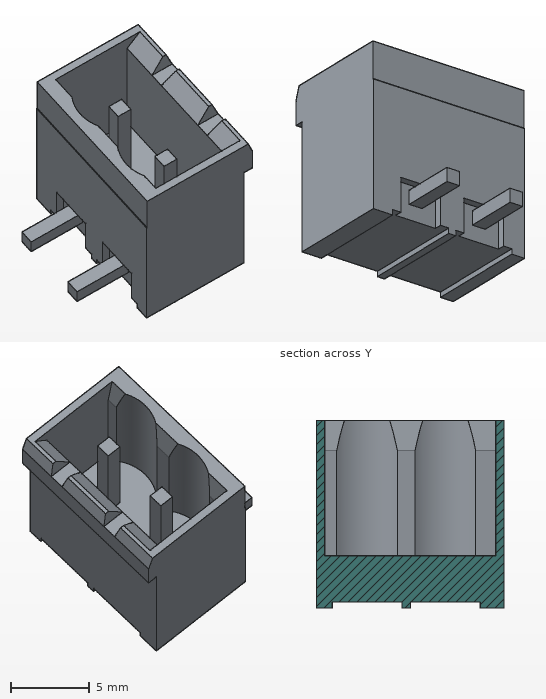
import cadquery as cq


WIDTH = 12.0
HEIGHT = 12.0
BODY_FRONT_Y = -8.35
RIM_FRONT_Y = -8.3
LIP_OVERHANG = 0.66
LIP_HEIGHT = 2.71
LIP_CHAMFER_DEPTH = 0.34
BEVEL_HEIGHT = 0.97

SIDE_WALL = 0.54
SOCKET_BACK_TOP_Y = -0.6
SOCKET_BACK_Y = -1.61
SOCKET_FRONT_Y = -6.9
SOCKET_FRONT_TOP_Y = -7.24
FRONT_BEVEL_HEIGHT = 1.92
SOCKET_FLOOR_Z = 3.36
SCALLOP_RADIUS = 3.0
SCALLOP_FRONT_Y = -7.61

POLE_PITCH = 5.0
FIRST_POLE_X = 3.75
POLE_CENTERS = [FIRST_POLE_X, FIRST_POLE_X + POLE_PITCH]
PIN_SIZE = 1.01
PIN_Y = -4.5
PIN_TOP_Z = 10.35
TAIL_Z = 1.99
TAIL_END_Y = -11.85

NOTCH_TOP_WIDTH = 1.43

RECESS_WIDTH = 3.15
RECESS_TOP_Z = 2.88
RECESS_DEPTH = 0.55
FOOT_GAP_WIDTH = 4.44
FOOT_HEIGHT = 0.38

LIP_BOTTOM_Z = HEIGHT - LIP_HEIGHT
BEVEL_BOTTOM_Z = HEIGHT - BEVEL_HEIGHT


def box(x_range, y_range, z_range):
    """Box spanning the given (low, high) ranges."""
    spans = (x_range, y_range, z_range)
    sizes = [high - low for low, high in spans]
    corner = tuple(low for low, high in spans)
    return cq.Workplane("XY").box(*sizes, centered=False).translate(corner)


def centered_range(center, width):
    return (center - width / 2, center + width / 2)


def side_profile(points, x_start, length):
    """Extrude a (Y, Z) outline along X."""
    return cq.Workplane("YZ", origin=(x_start, 0, 0)).polyline(points).close().extrude(length)


def make_housing():
    outline = [
        (BODY_FRONT_Y, 0),
        (-LIP_OVERHANG, 0),
        (-LIP_OVERHANG, LIP_BOTTOM_Z),
        (0, LIP_BOTTOM_Z),
        (0, BEVEL_BOTTOM_Z),
        (-LIP_CHAMFER_DEPTH, HEIGHT),
        (RIM_FRONT_Y, HEIGHT),
        (RIM_FRONT_Y, LIP_BOTTOM_Z),
        (BODY_FRONT_Y, LIP_BOTTOM_Z),
    ]
    return side_profile(outline, 0, WIDTH)


def make_socket():
    """Cavity with a bevelled mouth at the back and front walls."""
    outline = [
        (SOCKET_FRONT_Y, SOCKET_FLOOR_Z),
        (SOCKET_BACK_Y, SOCKET_FLOOR_Z),
        (SOCKET_BACK_Y, BEVEL_BOTTOM_Z),
        (SOCKET_BACK_TOP_Y, HEIGHT),
        (SOCKET_FRONT_TOP_Y, HEIGHT),
        (SOCKET_FRONT_Y, HEIGHT - FRONT_BEVEL_HEIGHT),
    ]
    return side_profile(outline, SIDE_WALL, WIDTH - 2 * SIDE_WALL)


def make_scallop(pole_x):
    """Round relief in the front wall; the half behind the pins is left out."""
    center_y = SCALLOP_FRONT_Y + SCALLOP_RADIUS
    depth = HEIGHT - SOCKET_FLOOR_Z
    base = cq.Workplane("XY", origin=(pole_x, center_y, SOCKET_FLOOR_Z))
    scallop = base.circle(SCALLOP_RADIUS).extrude(depth)
    front_half = box((0, WIDTH), (BODY_FRONT_Y, center_y), (SOCKET_FLOOR_Z, HEIGHT))
    inside_walls = box((SIDE_WALL, WIDTH - SIDE_WALL), (BODY_FRONT_Y, 0), (SOCKET_FLOOR_Z, HEIGHT))
    return scallop.intersect(front_half).intersect(inside_walls)


def make_lip_notch(pole_x):
    """Tapered notch across the back wall, as wide as the pin at its floor."""
    half_floor = PIN_SIZE / 2
    half_top = NOTCH_TOP_WIDTH / 2
    outline = [
        (pole_x - half_floor, BEVEL_BOTTOM_Z),
        (pole_x + half_floor, BEVEL_BOTTOM_Z),
        (pole_x + half_top, HEIGHT),
        (pole_x - half_top, HEIGHT),
    ]
    return cq.Workplane("XZ").polyline(outline).close().extrude(-SOCKET_BACK_Y)


def make_front_recess(pole_x):
    y_range = (BODY_FRONT_Y, BODY_FRONT_Y + RECESS_DEPTH)
    return box(centered_range(pole_x, RECESS_WIDTH), y_range, (0, RECESS_TOP_Z))


def make_foot_gap(pole_x):
    return box(centered_range(pole_x, FOOT_GAP_WIDTH), (BODY_FRONT_Y, 0), (0, FOOT_HEIGHT))


def make_pin(pole_x):
    """Upright contact joined to a horizontal tail leaving the front."""
    x_range = centered_range(pole_x, PIN_SIZE)
    y_range = centered_range(PIN_Y, PIN_SIZE)
    tail_z_range = centered_range(TAIL_Z, PIN_SIZE)
    contact = box(x_range, y_range, (tail_z_range[0], PIN_TOP_Z))
    tail = box(x_range, (TAIL_END_Y, y_range[1]), tail_z_range)
    return contact.union(tail)


result = make_housing().cut(make_socket())
for pole in POLE_CENTERS:
    result = result.cut(make_scallop(pole))
    result = result.cut(make_lip_notch(pole))
    result = result.cut(make_front_recess(pole))
    result = result.cut(make_foot_gap(pole))
    result = result.union(make_pin(pole))